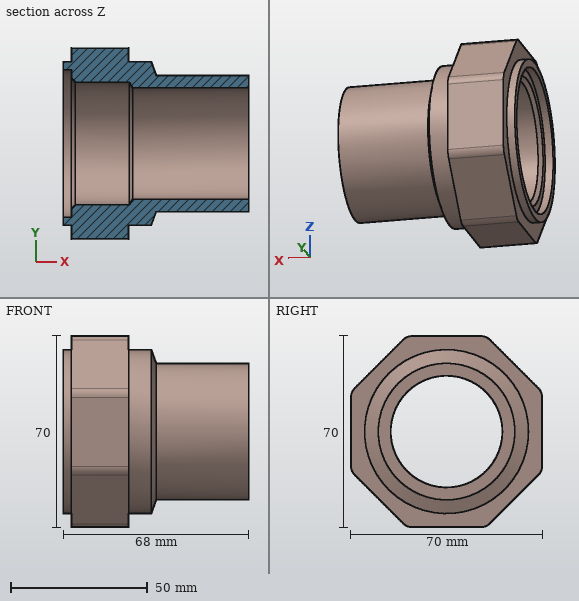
import cadquery as cq
import math

COLLAR_LENGTH = 3.0
OCTAGON_LENGTH = 21.0
OCTAGON_END = COLLAR_LENGTH + OCTAGON_LENGTH
SHOULDER_TAPER_START = 32.3
SPIGOT_START = 34.1
TOTAL_LENGTH = 68.0

BODY_RADIUS = 30.0
SPIGOT_RADIUS = 25.0
SIDE_COUNT = 8
ACROSS_FLATS = 70.0
CORNER_RADIUS = 4.5

RECESS_RADIUS = 27.0
RECESS_DEPTH = COLLAR_LENGTH
SOCKET_RADIUS = 22.4
SOCKET_CHAMFER = 1.5
SOCKET_END = 24.2
BORE_RADIUS = 20.4
SEAT_LENGTH = 1.2


def revolve_about_x(profile):
    """Turn a closed list of (x, radius) points about the X axis."""
    return cq.Workplane("XY").polyline(profile).close().revolve(360, (0, 0, 0), (1, 0, 0))


def turned_body():
    """Round body with a tapered shoulder down to the spigot."""
    return revolve_about_x([
        (0, 0),
        (0, BODY_RADIUS),
        (SHOULDER_TAPER_START, BODY_RADIUS),
        (SPIGOT_START, SPIGOT_RADIUS),
        (TOTAL_LENGTH, SPIGOT_RADIUS),
        (TOTAL_LENGTH, 0),
    ])


def octagon_grip():
    """Octagonal wrench grip with rounded corners and flats facing Y and Z."""
    half_turn_per_side = math.pi / SIDE_COUNT
    across_corners = ACROSS_FLATS / math.cos(half_turn_per_side)
    return (
        cq.Workplane("YZ", origin=(COLLAR_LENGTH, 0, 0))
        .transformed(rotate=(0, 0, math.degrees(half_turn_per_side)))
        .polygon(SIDE_COUNT, across_corners)
        .extrude(OCTAGON_LENGTH)
        .edges("|X")
        .fillet(CORNER_RADIUS)
    )


def stepped_bore():
    """Seal recess, chamfered socket, conical seat and through bore."""
    mouth_radius = SOCKET_RADIUS + SOCKET_CHAMFER
    return revolve_about_x([
        (0, 0),
        (0, RECESS_RADIUS),
        (RECESS_DEPTH, RECESS_RADIUS),
        (RECESS_DEPTH, mouth_radius),
        (RECESS_DEPTH + SOCKET_CHAMFER, SOCKET_RADIUS),
        (SOCKET_END, SOCKET_RADIUS),
        (SOCKET_END + SEAT_LENGTH, BORE_RADIUS),
        (TOTAL_LENGTH, BORE_RADIUS),
        (TOTAL_LENGTH, 0),
    ])


result = turned_body().union(octagon_grip()).cut(stepped_bore())